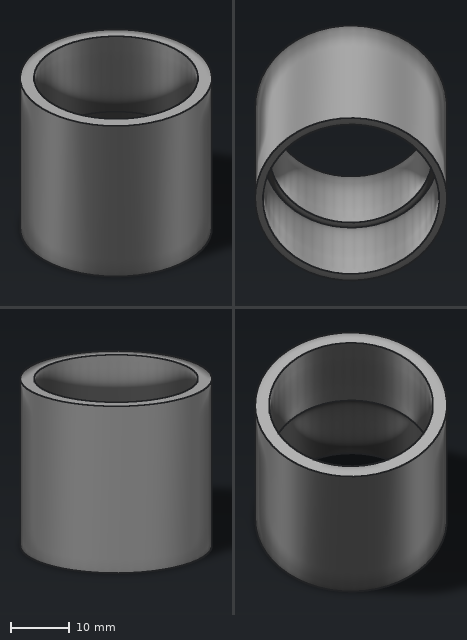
import cadquery as cq

outer_diameter = 33.0
height = 30.0
bore_diameter = 28.2
socket_diameter = 30.3
socket_depth = height / 2

sleeve = cq.Workplane("XY").circle(outer_diameter / 2).circle(bore_diameter / 2).extrude(height)

socket = cq.Workplane("XY").circle(socket_diameter / 2).extrude(socket_depth)

result = sleeve.cut(socket)